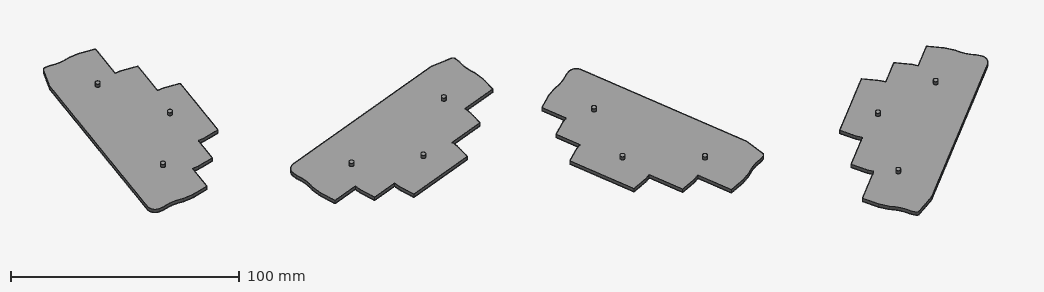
import cadquery as cq
import math

length = 99.5
plate_thickness = 2.1
total_height = 4.0

base_top = 28.8
tier_rise = 10.8
middle_top = base_top + tier_rise
upper_top = middle_top + tier_rise
middle_left, middle_right = 18.4, 85.8
upper_left, upper_right = 36.8, 72.3

taper_inset = 1.3
taper_length = 7.9

hollow_low, hollow_high = 6.2, 16.0
hollow_depth = 0.6
hollow_middle = (hollow_low + hollow_high) / 2

bevel_length = 10.85
bevel_angle = 15.0
bevel_height = bevel_length * math.tan(math.radians(bevel_angle))
left_corner_radius = 1.3
right_corner_radius = 4.0

pin_diameter = 2.2
pin_centers = [(21.1, 18.3), (52.1, 36.9), (77.8, 18.3)]


def left_taper(x, top):
    """Points up the left end of a tier."""
    return [(x, top - taper_length), (x + taper_inset, top)]


def right_taper(x, top):
    """Points down the right end of a tier."""
    return [(x - taper_inset, top), (x, top - taper_length)]


def make_plate():
    stepped_edge = [
        *left_taper(0, base_top),
        (middle_left, base_top),
        *left_taper(middle_left, middle_top),
        (upper_left, middle_top),
        *left_taper(upper_left, upper_top),
        *right_taper(upper_right, upper_top),
        (upper_right, middle_top),
        *right_taper(middle_right, middle_top),
        (middle_right, base_top),
        *right_taper(length, base_top),
    ]
    outline = cq.Workplane("XY").moveTo(bevel_length, 0).lineTo(0, bevel_height).lineTo(0, hollow_low)
    outline = outline.threePointArc((hollow_depth, hollow_middle), (0, hollow_high))
    for point in stepped_edge:
        outline = outline.lineTo(*point)
    outline = outline.lineTo(length, hollow_high)
    outline = outline.threePointArc((length - hollow_depth, hollow_middle), (length, hollow_low))
    outline = outline.lineTo(length, 0).close()
    return outline.extrude(plate_thickness)


def round_corner(plate, x, y, radius):
    """Round the vertical plate edge nearest to a corner."""
    corner = cq.selectors.NearestToPointSelector((x, y, plate_thickness / 2))
    return plate.edges("|Z").edges(corner).fillet(radius)


def make_pins():
    return cq.Workplane("XY").pushPoints(pin_centers).circle(pin_diameter / 2).extrude(total_height)


plate = make_plate()
plate = round_corner(plate, 0, bevel_height, left_corner_radius)
plate = round_corner(plate, length, 0, right_corner_radius)
result = plate.union(make_pins())